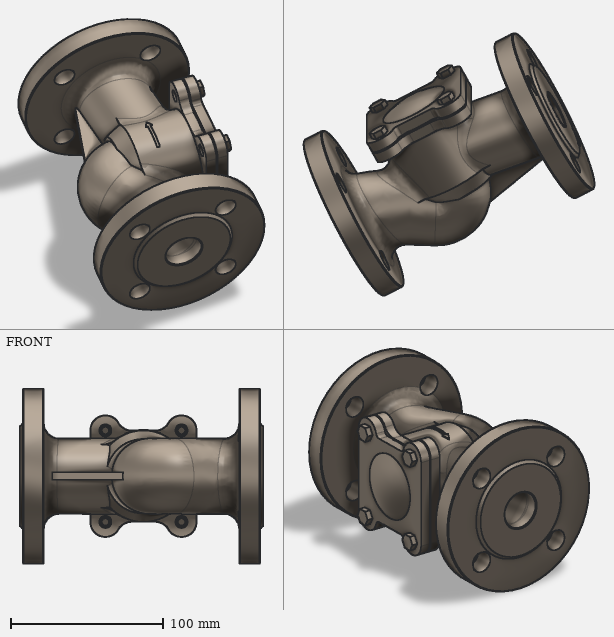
import cadquery as cq
import math

half_length = 80.0
flange_diameter = 115.0
flange_thickness = 14.0
flange_chamfer = 0.6
raised_face_diameter = 65.0
raised_face_height = 2.0
flange_hole_diameter = 14.0
flange_hole_circle = 85.0

bore_diameter = 25.0
bore_chamfer = 0.6
pipe_radius = 24.8
pipe_fillet = 9.6
inlet_end_x = -8.0
inlet_tilt = 7.5

bonnet_x = 1.3
neck_diameter = 60.0
neck_bottom_y = -7.7
taper_bottom_y = -17.8
taper_bottom_radius = 24.5
inlet_neck_fillet = 9.6
outlet_neck_fillet = 9.6
core_diameter = 50.0

elbow_x = 16.2
elbow_y = -12.2
elbow_outer_radius = 36.2
elbow_exit_angle = 30.0
outlet_end_slope = 12.0
outlet_end_half_width = 29.8

plate_bottom_y = 32.0
plate_thickness = 7.0
plate_gap = 1.0
bolt_pitch_x = 50.0
bolt_pitch_z = 60.0
lug_radius = 10.0
body_plate_fillet = 10.0
cover_plate_fillet = 3.4
dome_height = 5.1
dome_radius = 22.7

bolt_hole_diameter = 8.0
bolt_diameter = 6.0
bolt_length = 11.2
bolt_end_chamfer = 0.6
head_across_flats = 10.0
head_height = 4.0

rib_thickness = 5.0
rib_outer_start = (-58.5, -24.5)
rib_outer_end = (-12.2, -34.5)

arrow_y = 7.5
arrow_tip_x = -10.7
arrow_head_x = -6.0
arrow_tail_x = 12.2
arrow_head_half_width = 2.4
arrow_shaft_half_width = 1.0
arrow_relief = 0.5

edge_margin = 0.8

flange_outer_x = half_length - raised_face_height
flange_inner_x = flange_outer_x - flange_thickness
pipe_start_x = (flange_outer_x + flange_inner_x) / 2
neck_radius = neck_diameter / 2
neck_crease_top_y = plate_bottom_y - 2 * edge_margin
plate_top_y = plate_bottom_y + plate_thickness
cover_bottom_y = plate_top_y + plate_gap
cover_top_y = cover_bottom_y + plate_thickness
bolt_places = [
    (bonnet_x + side_x * bolt_pitch_x / 2, side_z * bolt_pitch_z / 2)
    for side_x in (-1, 1)
    for side_z in (-1, 1)
]


def cylinder_y(diameter, bottom_y, top_y, x=bonnet_x, z=0.0):
    """Cylinder along Y between two heights."""
    return cq.Workplane(cq.Solid.makeCylinder(
        diameter / 2, top_y - bottom_y, cq.Vector(x, bottom_y, z), cq.Vector(0, 1, 0)))


def make_flange(side):
    """Round flange with raised face; side is -1 or +1 along X."""
    raised_radius = raised_face_diameter / 2
    profile = [
        (flange_inner_x, 0),
        (flange_inner_x, flange_diameter / 2 - flange_chamfer),
        (flange_inner_x + flange_chamfer, flange_diameter / 2),
        (flange_outer_x - flange_chamfer, flange_diameter / 2),
        (flange_outer_x, flange_diameter / 2 - flange_chamfer),
        (flange_outer_x, raised_radius + raised_face_height),
        (half_length, raised_radius),
        (half_length, 0),
    ]
    points = [(side * x, y) for x, y in profile]
    return cq.Workplane("XY").polyline(points).close().revolve(360, (0, 0, 0), (1, 0, 0))


def make_inlet(radius):
    """Straight tilted pipe from the -X flange into the neck."""
    tilt = math.radians(inlet_tilt)
    start = cq.Vector(-pipe_start_x, 0, 0)
    direction = cq.Vector(math.cos(tilt), math.sin(tilt), 0)
    length = (inlet_end_x + pipe_start_x) / direction.x
    return cq.Workplane(cq.Solid.makeCylinder(radius, length, start, direction))


def make_outlet(radius, end_half_width):
    """Gently curved pipe from the elbow up to the +X flange, where its section is an ellipse."""
    exit_angle = math.radians(elbow_exit_angle)
    end_angle = math.radians(outlet_end_slope)
    exit_direction = cq.Vector(math.cos(exit_angle), math.sin(exit_angle), 0)
    end_direction = cq.Vector(math.cos(end_angle), math.sin(end_angle), 0)
    centre_radius = elbow_outer_radius - pipe_radius
    elbow_end = cq.Vector(elbow_x + centre_radius * math.sin(exit_angle),
                          elbow_y - centre_radius * math.cos(exit_angle), 0)
    pipe_end = cq.Vector(pipe_start_x, 0, 0)
    path = cq.Workplane("XY").spline([elbow_end, pipe_end], tangents=[exit_direction, end_direction])
    sections = cq.Workplane(cq.Plane(elbow_end, (0, 0, 1), exit_direction)).ellipse(radius, radius)
    sections = sections.add(
        cq.Workplane(cq.Plane(pipe_end, (0, 0, 1), end_direction)).ellipse(radius, end_half_width))
    return sections.sweep(path, multisection=True)


def make_elbow():
    """Outer part of a tight torus about a line parallel to Z, turned down to the outlet pipe."""
    centre_radius = elbow_outer_radius - pipe_radius
    axis_height = math.sqrt(pipe_radius ** 2 - centre_radius ** 2)
    return (
        cq.Workplane("XZ", origin=(elbow_x, elbow_y, 0))
        .moveTo(0, -axis_height)
        .threePointArc((-elbow_outer_radius, 0), (0, axis_height))
        .close()
        .revolve(90 + elbow_exit_angle, (0, 0, 0), (0, 1, 0))
    )


def make_neck(bottom_y=neck_bottom_y):
    return cylinder_y(neck_diameter, bottom_y, plate_bottom_y)


def make_neck_taper():
    """Cone that leads from the round neck down to the flank of the elbow."""
    return (
        cq.Workplane("XY", origin=(bonnet_x, 0, 0))
        .polyline([(0, neck_bottom_y), (neck_radius, neck_bottom_y),
                   (taper_bottom_radius, taper_bottom_y), (0, taper_bottom_y)])
        .close()
        .revolve(360, (0, 0, 0), (0, 1, 0))
    )


def make_rib():
    """Thin web in the angle between the inlet pipe and the elbow."""
    inner_corner = (elbow_x, elbow_y)
    pipe_corner = (rib_outer_start[0], elbow_y)
    return (
        cq.Workplane("XY")
        .polyline([rib_outer_start, rib_outer_end, inner_corner, pipe_corner])
        .close()
        .extrude(rib_thickness / 2, both=True)
    )


def make_plate(bottom_y, waist_fillet):
    """Plate with four round lugs; concave rounds lead from the lugs to a flat waist."""
    lug_x = bolt_pitch_x / 2
    lug_z = bolt_pitch_z / 2
    side_x = lug_x + lug_radius
    reach = lug_radius + waist_fillet
    fillet_x = lug_x - math.sqrt(reach ** 2 - waist_fillet ** 2)
    fillet_z = lug_z + waist_fillet
    touch_angle = math.asin(waist_fillet / reach)
    touch = (lug_x - lug_radius * math.cos(touch_angle), lug_z + lug_radius * math.sin(touch_angle))
    lug_mid_angle = (math.pi - touch_angle) / 2
    lug_mid = (lug_x + lug_radius * math.cos(lug_mid_angle), lug_z + lug_radius * math.sin(lug_mid_angle))
    fillet_mid_angle = (math.pi / 2 + touch_angle) / 2
    fillet_mid = (fillet_x + waist_fillet * math.cos(fillet_mid_angle),
                  fillet_z - waist_fillet * math.sin(fillet_mid_angle))

    plane = cq.Plane((bonnet_x, bottom_y, 0), (1, 0, 0), (0, 1, 0))
    quarter = (
        cq.Workplane(plane)
        .lineTo(side_x, 0)
        .lineTo(side_x, lug_z)
        .threePointArc(lug_mid, touch)
        .threePointArc(fillet_mid, (fillet_x, lug_z))
        .lineTo(0, lug_z)
        .close()
        .extrude(plate_thickness)
    )
    half = quarter.union(quarter.mirror("XY"))
    plate = half.union(half.mirror("YZ", (bonnet_x, 0, 0)))
    for x, z in bolt_places:
        plate = plate.cut(cylinder_y(bolt_hole_diameter, bottom_y, bottom_y + plate_thickness, x, z))
    return plate


def make_dome():
    """Spherical cap on the cover plate."""
    sphere_radius = (dome_radius ** 2 + dome_height ** 2) / (2 * dome_height)
    sphere = cq.Workplane("XY").sphere(sphere_radius).translate(
        (bonnet_x, cover_top_y + dome_height - sphere_radius, 0))
    return sphere.intersect(cylinder_y(2 * dome_radius, cover_top_y, cover_top_y + 2 * dome_height))


def make_arrow():
    """Raised flow arrow that follows the round side of the neck."""
    outline = [
        (arrow_tip_x, 0),
        (arrow_head_x, arrow_head_half_width),
        (arrow_head_x, arrow_shaft_half_width),
        (arrow_tail_x, arrow_shaft_half_width),
        (arrow_tail_x, -arrow_shaft_half_width),
        (arrow_head_x, -arrow_shaft_half_width),
        (arrow_head_x, -arrow_head_half_width),
    ]
    prism = cq.Workplane("XY").center(0, arrow_y).polyline(outline).close().extrude(neck_diameter)
    skin = cylinder_y(neck_diameter + 2 * arrow_relief, arrow_y - neck_radius, arrow_y + neck_radius)
    return prism.intersect(skin)


def box_between(low, high):
    """Selector of the edges inside a box, with a small margin."""
    margin = cq.Vector(edge_margin, edge_margin, edge_margin)
    low_corner = cq.Vector(*low) - margin
    high_corner = cq.Vector(*high) + margin
    return cq.selectors.BoxSelector(low_corner.toTuple(), high_corner.toTuple(), boundingbox=True)


def make_inlet_branch():
    """Inlet pipe and its flange, blended into each other and into the neck."""
    deep_y = -2 * pipe_radius
    branch = make_neck(deep_y).union(make_inlet(pipe_radius)).union(make_flange(-1))
    crease = box_between((bonnet_x - neck_radius, -neck_radius, -neck_radius),
                         (bonnet_x, neck_crease_top_y, neck_radius))
    branch = branch.edges(crease).fillet(inlet_neck_fillet)
    branch = fillet_at_flange(branch, -1)
    below = cylinder_y(neck_diameter + 4 * inlet_neck_fillet, deep_y, neck_bottom_y)
    return branch.cut(below).union(make_inlet(pipe_radius))


def make_outlet_branch():
    """Elbow, outlet pipe and its flange, blended into each other and into the neck."""
    branch = make_neck().union(make_elbow())
    branch = branch.union(make_outlet(pipe_radius, outlet_end_half_width)).union(make_flange(1))
    branch = fillet_at_flange(branch, 1)
    crease = box_between((elbow_x, neck_bottom_y, -neck_radius),
                         (bonnet_x + neck_radius, neck_crease_top_y, neck_radius))
    return branch.edges(crease).fillet(outlet_neck_fillet)


def fillet_at_flange(branch, side):
    """Round the corner between a pipe and the inner face of its flange."""
    reach = raised_face_diameter / 2
    inner_x = side * flange_inner_x
    corner = box_between((inner_x, -reach, -reach), (inner_x, reach, reach))
    return branch.edges(corner).fillet(pipe_fillet)


def cut_bores(casing):
    """Bores from both flange faces to the solid core of the neck, with chamfered mouths."""
    radius = bore_diameter / 2
    bores = make_inlet(radius).union(make_outlet(radius, radius))
    for side in (-1, 1):
        bend = cq.Workplane("XY").sphere(radius).translate((side * pipe_start_x, 0, 0))
        bores = bores.union(bend)
        face = cq.Vector(side * half_length, 0, 0)
        inward = cq.Vector(-side, 0, 0)
        straight = cq.Solid.makeCylinder(radius, half_length - pipe_start_x, face, inward)
        mouth = cq.Solid.makeCone(radius + bore_chamfer, radius, bore_chamfer, face, inward)
        bores = bores.union(cq.Workplane(straight)).union(cq.Workplane(mouth))
    return casing.cut(bores.cut(cylinder_y(core_diameter, -flange_diameter, flange_diameter)))


def cut_flange_holes(casing):
    """Four holes through each flange, midway between the Y and Z axes."""
    for side in (-1, 1):
        casing = casing.cut(
            cq.Workplane("YZ", origin=(side * half_length, 0, 0))
            .polarArray(flange_hole_circle / 2, 45, 360, 4)
            .circle(flange_hole_diameter / 2)
            .extrude(side * (flange_inner_x - pipe_fillet - half_length))
        )
    return casing


def make_casing():
    """Valve casing in one piece with its bonnet plates and dome."""
    casing = make_outlet_branch().union(make_inlet_branch()).union(make_neck_taper())
    casing = casing.union(make_rib()).union(make_arrow())
    casing = cut_flange_holes(cut_bores(casing))
    casing = casing.union(make_plate(plate_bottom_y, body_plate_fillet))
    seat = cylinder_y(neck_diameter, plate_top_y, cover_bottom_y)
    for x, z in bolt_places:
        seat = seat.cut(cylinder_y(bolt_hole_diameter, plate_top_y, cover_bottom_y, x, z))
    casing = casing.union(seat)
    return casing.union(make_plate(cover_bottom_y, cover_plate_fillet)).union(make_dome())


def make_bolt(x, z):
    """Hexagon bolt whose head rests on the cover plate."""
    corner_diameter = head_across_flats / math.cos(math.pi / 6)
    shank = cylinder_y(bolt_diameter, cover_top_y - bolt_length, cover_top_y, x, z)
    shank = shank.faces("<Y").chamfer(bolt_end_chamfer)
    head_plane = cq.Plane((x, cover_top_y, z), (1, 0, 0), (0, 1, 0))
    head = cq.Workplane(head_plane).polygon(6, corner_diameter).extrude(head_height)
    return head.union(shank)


casing = make_casing()
bolts = [make_bolt(x, z) for x, z in bolt_places]
result = cq.Compound.makeCompound([casing.val()] + [bolt.val() for bolt in bolts])